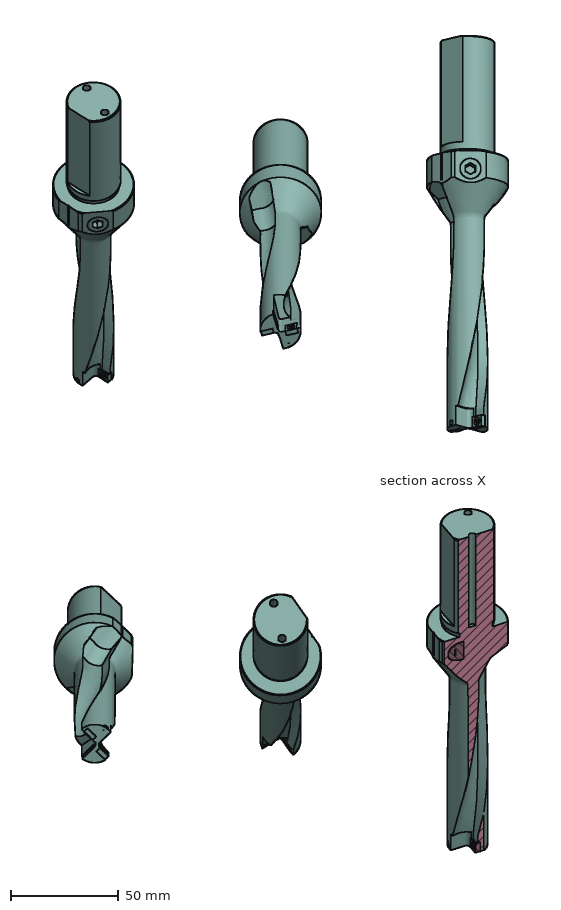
import cadquery as cq
import math

TOTAL_LENGTH = 187.26
TIP_STANDOFF = 0.4
DRILL_RADIUS = 9.5
CONE_BOTTOM = 101.4
CONE_FILLET = 4.0
SELECT_MARGIN = 1.0

COLLAR_RADIUS = 38.1 / 2
COLLAR_BOTTOM = 117.3
COLLAR_TOP = 130.2
COLLAR_CHAMFER = 0.4
FRONT_FLAT_OFFSET = 37.1 - COLLAR_RADIUS
MARK_WIDTH = 0.6
MARK_DEPTH = 0.3
PLUG_FLAT_OFFSET = 17.6
PLUG_FLAT_ANGLE = -43.0

SHANK_RADIUS = 25.4 / 2
SHANK_CHAMFER = 0.5
NECK_RADIUS = 12.2
NECK_TOP = 132.0
SHANK_FLAT_OFFSET = 10.7
SHANK_FLAT_BOTTOM = 136.0

INLET_POSITIONS = [(-8.0, 4.5), (8.5, -1.9)]
INLET_DIAMETER = 3.6
INLET_BOTTOM = 134.0
OUTLET_X = -1.8
OUTLET_Z = 2.0
OUTLET_DIAMETER = 2.2
OUTLET_DEPTH = 2.0

PLUG_DIAMETER = 9.8
PLUG_LENGTH = 7.0
PLUG_HEIGHT = 121.6
PLUG_HEX = 4.76
PLUG_HEX_DEPTH = 4.0
PLUG_HEX_TURN = 30.0

TWIST_START = 9.0
TWIST_END = 88.0
TWIST_ANGLE = 85.0
TWIST_POWER = 1.5
TWIST_GUIDE_POINTS = 16
FLUTE_FLOOR = -1.5
FLUTE_ARC_X = -8.2
FLUTE_ARC_Y = -4.9
RUNOUT_STEEP = (6.2, 10.6)
RUNOUT_FLAT = (12.0, 6.0)
CLEAR = 11.7

OUTER_FACE_Y = -0.2
OUTER_WALL_X = 1.3
OUTER_POCKET_TOP = 9.6
OUTER_POCKET_RADIUS = 2.0
INNER_FACE_Y = -0.6
INNER_WALL_X = 0.8
INNER_POCKET_TOP = 13.0
INNER_POCKET_SLOPE = 30.0
INNER_POCKET_RADIUS = 1.2
WALL_STEP_Y = 1.2
WALL_STEP_TOP = 3.9
WALL_STEP_DEPTH = 0.3

INSERT_WIDTH = 5.75
INSERT_HEIGHT = 5.25
INSERT_THICKNESS = 2.4
OUTER_INSERT_X = 6.1
INNER_INSERT_X = -4.9
SCREW_HEAD_RADIUS = 1.8
SCREW_SHANK_RADIUS = 1.1
SCREW_HEAD_DEPTH = 1.2
SCREW_LENGTH = 5.0
SCREW_SOCKET = 1.6
SCREW_SOCKET_DEPTH = 0.8
INSERT_CENTER_Z = TIP_STANDOFF + INSERT_HEIGHT / 2


def half_turn(shape):
    return shape.rotate((0, 0, 0), (0, 0, 1), 180)


def make_blank():
    """Turned body with its shank, neck, collar, cone and drill."""
    drill = cq.Workplane("XY").workplane(offset=TIP_STANDOFF).circle(DRILL_RADIUS)
    drill = drill.extrude(COLLAR_BOTTOM - TIP_STANDOFF)
    cone_profile = [
        (0, CONE_BOTTOM),
        (DRILL_RADIUS, CONE_BOTTOM),
        (COLLAR_RADIUS, COLLAR_BOTTOM),
        (COLLAR_RADIUS, COLLAR_TOP - COLLAR_CHAMFER),
        (COLLAR_RADIUS - COLLAR_CHAMFER, COLLAR_TOP),
        (NECK_RADIUS, COLLAR_TOP),
        (NECK_RADIUS, NECK_TOP),
        (SHANK_RADIUS, NECK_TOP + SHANK_CHAMFER),
        (SHANK_RADIUS, TOTAL_LENGTH - SHANK_CHAMFER),
        (SHANK_RADIUS - SHANK_CHAMFER, TOTAL_LENGTH),
        (0, TOTAL_LENGTH),
    ]
    upper = cq.Workplane("XZ").polyline(cone_profile).close().revolve(360, (0, 0, 0), (0, 1, 0))
    blank = drill.union(upper)
    foot_low = (-CLEAR, -CLEAR, CONE_BOTTOM - SELECT_MARGIN)
    foot_high = (CLEAR, CLEAR, CONE_BOTTOM + SELECT_MARGIN)
    cone_foot = cq.selectors.BoxSelector(foot_low, foot_high, boundingbox=True)
    return blank.edges(cone_foot).fillet(CONE_FILLET)


def flat_cutter(offset, angle, bottom, top):
    """Block whose inner face lies at the given distance from the axis."""
    size = 2 * COLLAR_RADIUS
    block = cq.Workplane("XY").box(size, size, top - bottom, centered=(False, True, False))
    return block.translate((offset, 0, bottom)).rotate((0, 0, 0), (0, 0, 1), angle)


def flute_profile():
    """Flute section as it stands above the twist, in the -X -Y quarter."""
    width = -FLUTE_ARC_X
    height = FLUTE_FLOOR - FLUTE_ARC_Y
    middle = math.sqrt(0.5)
    return (
        cq.Workplane("XY")
        .moveTo(-CLEAR, FLUTE_FLOOR)
        .lineTo(FLUTE_ARC_X, FLUTE_FLOOR)
        .threePointArc(
            (FLUTE_ARC_X + width * middle, FLUTE_ARC_Y + height * middle), (0, FLUTE_ARC_Y)
        )
        .lineTo(0, -CLEAR)
        .lineTo(-CLEAR, -CLEAR)
        .close()
    )


def twist_at(height):
    """Turn of the flute about Z, relative to its position above the twist."""
    left = (TWIST_END - height) / (TWIST_END - TWIST_START)
    return -TWIST_ANGLE * max(left, 0) ** TWIST_POWER


def twisted_section():
    """Flute section swept up the axis while a guide curve turns it."""
    guide_points = []
    for step in range(TWIST_GUIDE_POINTS + 1):
        height = TWIST_START + (TWIST_END - TWIST_START) * step / TWIST_GUIDE_POINTS
        turn = math.radians(twist_at(height))
        guide_points.append((CLEAR * math.cos(turn), CLEAR * math.sin(turn), height))
    guide = cq.Workplane("XY").spline(guide_points)
    spine = cq.Workplane("XZ").moveTo(0, TWIST_START).lineTo(0, TWIST_END)
    start = flute_profile().val().rotate((0, 0, 0), (0, 0, 1), -TWIST_ANGLE)
    start = start.translate(cq.Vector(0, 0, TWIST_START))
    return cq.Workplane(cq.Solid.sweep(start, [], spine.wire().val(), mode=guide.wire().val()))


def make_flute():
    """Straight at the tip, twisted in the middle, straight above, then running out in two slopes."""
    tip = flute_profile().extrude(TWIST_START).rotate((0, 0, 0), (0, 0, 1), -TWIST_ANGLE)
    straight = flute_profile().extrude(CONE_BOTTOM - TWIST_END).translate((0, 0, TWIST_END))
    sections = [tip, twisted_section(), straight]
    wire = flute_profile().val().translate(cq.Vector(0, 0, CONE_BOTTOM))
    for travel, rise in (RUNOUT_STEEP, RUNOUT_FLAT):
        direction = cq.Vector(0, -travel, rise)
        sections.append(cq.Workplane(cq.Solid.extrudeLinear(wire, [], direction)))
        wire = wire.translate(direction)
    return sections


def outer_pocket():
    """Recess in front of the outer insert, on the +X -Y side."""
    pocket = cq.Workplane("XY").box(CLEAR, CLEAR, OUTER_POCKET_TOP, centered=False)
    pocket = pocket.translate((OUTER_WALL_X, OUTER_FACE_Y - CLEAR, 0))
    return pocket.edges("|Z and <X and >Y").fillet(OUTER_POCKET_RADIUS)


def inner_pocket():
    """Recess in front of the inner insert, on the -X +Y side, with a sloping top."""
    rise = CLEAR * math.tan(math.radians(INNER_POCKET_SLOPE))
    side = [
        (INNER_FACE_Y, 0),
        (INNER_FACE_Y, INNER_POCKET_TOP),
        (INNER_FACE_Y + CLEAR, INNER_POCKET_TOP + rise),
        (INNER_FACE_Y + CLEAR, 0),
    ]
    pocket = cq.Workplane("YZ").workplane(offset=INNER_WALL_X).polyline(side).close().extrude(-CLEAR)
    return pocket.edges("|Z and >X and <Y").fillet(INNER_POCKET_RADIUS)


def wall_step():
    step = cq.Workplane("XY").box(WALL_STEP_DEPTH, CLEAR, WALL_STEP_TOP, centered=False)
    return step.translate((INNER_WALL_X, WALL_STEP_Y, 0))


def insert_block(center_x, tip_drop):
    """Insert blank from Y = 0 to its thickness; its lower edge dips by tip_drop in the middle."""
    half = INSERT_WIDTH / 2
    outline = [
        (center_x - half, TIP_STANDOFF),
        (center_x - half, TIP_STANDOFF + INSERT_HEIGHT),
        (center_x + half, TIP_STANDOFF + INSERT_HEIGHT),
        (center_x + half, TIP_STANDOFF),
    ]
    if tip_drop:
        outline.append((center_x, TIP_STANDOFF - tip_drop))
    return cq.Workplane("XZ").polyline(outline).close().extrude(-INSERT_THICKNESS)


def screw_blank(center_x):
    """Countersunk screw without its socket, head flush with Y = 0, pointing to +Y."""
    half_section = [
        (0, 0),
        (SCREW_HEAD_RADIUS, 0),
        (SCREW_SHANK_RADIUS, SCREW_HEAD_DEPTH),
        (SCREW_SHANK_RADIUS, SCREW_LENGTH),
        (0, SCREW_LENGTH),
    ]
    screw = cq.Workplane("XY").polyline(half_section).close().revolve(360, (0, 0, 0), (0, 1, 0))
    return screw.translate((center_x, 0, INSERT_CENTER_Z))


def screw_socket(center_x):
    socket = cq.Workplane("XZ").polygon(6, SCREW_SOCKET).extrude(-SCREW_SOCKET_DEPTH)
    return socket.translate((center_x, 0, INSERT_CENTER_Z))


def plug_blank():
    """Plug without its socket, flush with the slanted collar flat."""
    plug = cq.Workplane("YZ").circle(PLUG_DIAMETER / 2).extrude(-PLUG_LENGTH)
    return place_on_plug_flat(plug)


def plug_socket():
    corner_diameter = PLUG_HEX / math.cos(math.pi / 6)
    socket = cq.Workplane("YZ").polygon(6, corner_diameter).extrude(-PLUG_HEX_DEPTH)
    return place_on_plug_flat(socket.rotate((0, 0, 0), (1, 0, 0), PLUG_HEX_TURN))


def place_on_plug_flat(shape):
    shape = shape.translate((PLUG_FLAT_OFFSET, 0, PLUG_HEIGHT))
    return shape.rotate((0, 0, 0), (0, 0, 1), PLUG_FLAT_ANGLE)


to_outer = (0, OUTER_FACE_Y, 0)
to_inner = (0, INNER_FACE_Y, 0)

outer_insert_blank = insert_block(OUTER_INSERT_X, 0).translate(to_outer)
outer_screw_blank = screw_blank(OUTER_INSERT_X).translate(to_outer)
outer_socket = screw_socket(OUTER_INSERT_X).translate(to_outer)

inner_insert_blank = half_turn(insert_block(-INNER_INSERT_X, TIP_STANDOFF)).translate(to_inner)
inner_screw_blank = half_turn(screw_blank(-INNER_INSERT_X)).translate(to_inner)
inner_socket = half_turn(screw_socket(-INNER_INSERT_X)).translate(to_inner)

body = make_blank()
body = body.cut(flat_cutter(FRONT_FLAT_OFFSET, -90, CONE_BOTTOM, COLLAR_TOP))
body = body.cut(flat_cutter(PLUG_FLAT_OFFSET, PLUG_FLAT_ANGLE, CONE_BOTTOM, COLLAR_TOP))
mark = cq.Workplane("XY").rect(MARK_WIDTH, 2 * MARK_DEPTH).extrude(COLLAR_TOP - COLLAR_BOTTOM)
body = body.cut(mark.translate((0, -FRONT_FLAT_OFFSET, COLLAR_BOTTOM)))
body = body.cut(flat_cutter(SHANK_FLAT_OFFSET, -90, SHANK_FLAT_BOTTOM, TOTAL_LENGTH))

for section in make_flute():
    body = body.cut(section)
    body = body.cut(half_turn(section))
body = body.cut(outer_pocket()).cut(inner_pocket()).cut(wall_step())

outer_seat = outer_insert_blank.union(outer_insert_blank.translate((INSERT_WIDTH / 2, 0, 0)))
body = body.cut(outer_seat).cut(inner_insert_blank)
body = body.cut(outer_screw_blank).cut(inner_screw_blank).cut(plug_blank())

inlets = cq.Workplane("XY").workplane(offset=INLET_BOTTOM).pushPoints(INLET_POSITIONS)
body = body.cut(inlets.circle(INLET_DIAMETER / 2).extrude(TOTAL_LENGTH - INLET_BOTTOM))
outlet = cq.Workplane("XZ").workplane(offset=DRILL_RADIUS - OUTLET_DEPTH)
outlet = outlet.center(OUTLET_X, OUTLET_Z).circle(OUTLET_DIAMETER / 2).extrude(2 * OUTLET_DEPTH)
body = body.cut(outlet)

outer_insert = outer_insert_blank.cut(outer_screw_blank)
inner_insert = inner_insert_blank.cut(inner_screw_blank)
outer_screw = outer_screw_blank.cut(outer_socket)
inner_screw = inner_screw_blank.cut(inner_socket)
plug = plug_blank().cut(plug_socket())

result = cq.Compound.makeCompound(
    [
        *body.vals(),
        outer_insert.val(),
        inner_insert.val(),
        outer_screw.val(),
        inner_screw.val(),
        plug.val(),
    ]
)